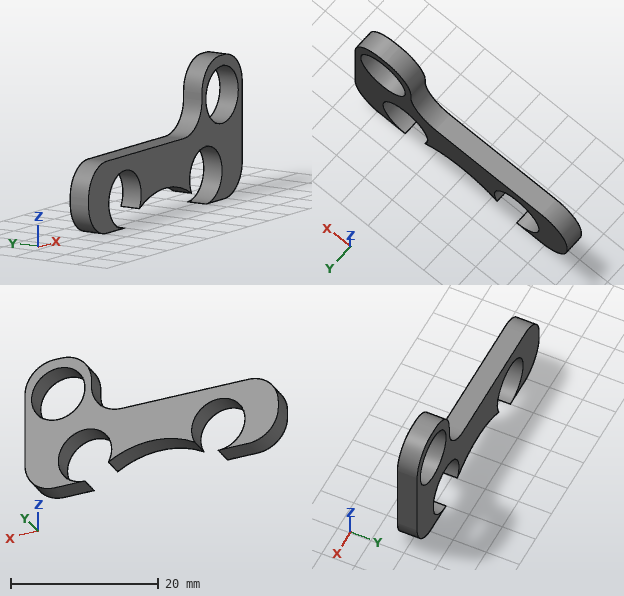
import cadquery as cq
import math

length = 38.0
height = 20.0
thickness = 3.0
arm_height = height / 2
lobe_width = 10.0
corner_radius = 4.5

hole_radius = 4.0
snap_spacing = 20.0
left_snap_x = 9.0
right_snap_x = left_snap_x + snap_spacing
eye_x = length - lobe_width / 2
eye_z = 14.5

cusp_z = 2.1
arch_top_z = 3.88


def rounded_outline():
    """L-shaped plate, every upright edge rounded, including the inner corner."""
    lobe_left_x = length - lobe_width
    return (
        cq.Workplane("XZ")
        .polyline([
            (0, 0),
            (length, 0),
            (length, height),
            (lobe_left_x, height),
            (lobe_left_x, arm_height),
            (0, arm_height),
        ])
        .close()
        .extrude(-thickness)
        .edges("|Y")
        .fillet(corner_radius)
    )


def round_holes():
    """Eye in the lobe and two snap holes touching the bottom edge."""
    centers = [
        (left_snap_x, hole_radius),
        (right_snap_x, hole_radius),
        (eye_x, eye_z),
    ]
    return cq.Workplane("XZ").pushPoints(centers).circle(hole_radius).extrude(-thickness)


def arched_opening():
    """Clears the bottom between the snap holes, leaving a cusp on each hole's rim."""
    cusp_offset = math.sqrt(hole_radius**2 - (hole_radius - cusp_z)**2)
    middle_x = (left_snap_x + right_snap_x) / 2
    return (
        cq.Workplane("XZ")
        .moveTo(left_snap_x, 0)
        .lineTo(left_snap_x, hole_radius)
        .lineTo(left_snap_x + cusp_offset, cusp_z)
        .threePointArc((middle_x, arch_top_z), (right_snap_x - cusp_offset, cusp_z))
        .lineTo(right_snap_x, hole_radius)
        .lineTo(right_snap_x, 0)
        .close()
        .extrude(-thickness)
    )


result = rounded_outline().cut(round_holes()).cut(arched_opening())